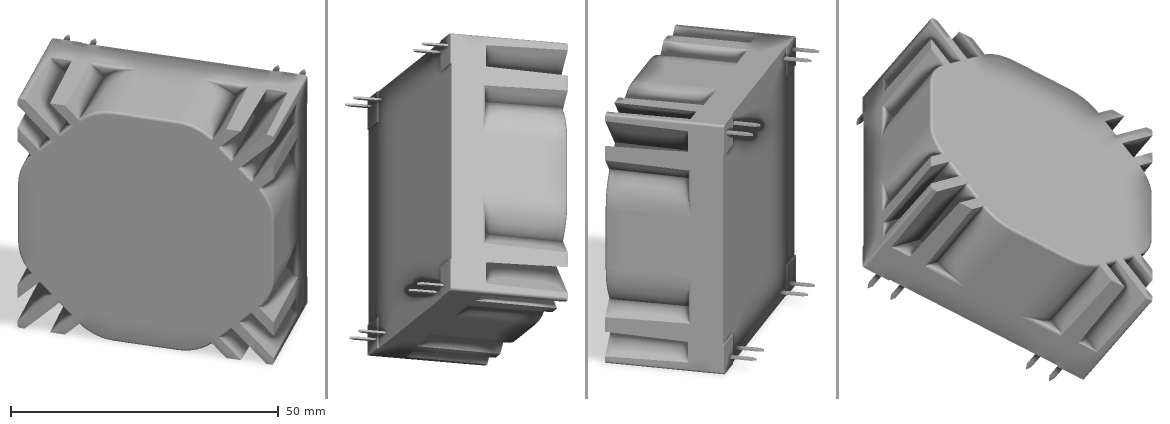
import cadquery as cq

SIDE = 49.7
DEPTH = 23.05
EDGE_RADIUS = 0.5
BASE_RIM_RADIUS = 0.6

DRUM_CORNER_RADIUS = 10.0
DRUM_SIDES = 8

RECESS_DEPTH = 16.05
CENTER_RIB_WIDTH = 2.0
SLOT_WIDTH = 3.5
OUTER_RIB_WIDTH = 2.05
DRAFT_ANGLE = 1.0
RIB_INNER_END = 19.9
RIB_OUTER_END = 37.28

FOOT_SIZE = 5.95
FOOT_HEIGHT = 0.25

PIN_ROW_OFFSET = 22.85
PIN_OUTER_X = 22.85
PIN_INNER_X = 15.2
PIN_STEPS = 3
PIN_REACH = 5.0
PIN_WIDTH = 1.0
PIN_THICKNESS = 0.4
PIN_TIP_LENGTH = 1.0
PIN_TIP_WIDTH = 0.1

FRONT_Y = -DEPTH
BACK_Y = -FOOT_HEIGHT
FLOOR_Y = FRONT_Y + RECESS_DEPTH
BODY_DEPTH = BACK_Y - FRONT_Y
RIB_GROUP_WIDTH = CENTER_RIB_WIDTH + 2 * (SLOT_WIDTH + OUTER_RIB_WIDTH)
PIN_PITCH = (PIN_OUTER_X - PIN_INNER_X) / PIN_STEPS
DIAGONAL_ANGLES = [45, 135, 225, 315]
AXIS_START = (0, 0, 0)
AXIS_END = (0, 1, 0)


def plane_at(y):
    """Workplane facing +Y at the given Y, with local x along Z and local y along X."""
    return cq.Workplane("ZX", origin=(0, y, 0))


def make_base():
    """Square base behind the recesses, with a rounded rim towards the recess floor."""
    base = plane_at(FLOOR_Y).rect(SIDE, SIDE).extrude(BACK_Y - FLOOR_Y)
    return base.faces("<Y").edges().fillet(BASE_RIM_RADIUS)


def make_drum():
    """Octagonal drum with rounded corners and a rounded front rim."""
    drum = plane_at(FRONT_Y).polygon(DRUM_SIDES, SIDE, circumscribed=True).extrude(BODY_DEPTH)
    drum = drum.edges("|Y").fillet(DRUM_CORNER_RADIUS)
    return drum.faces("<Y").edges().fillet(EDGE_RADIUS)


def make_diagonal_bar(offset, width, depth, taper):
    """Drafted bar running outwards from the drum, measured at the front face."""
    length = RIB_OUTER_END - RIB_INNER_END
    middle = (RIB_OUTER_END + RIB_INNER_END) / 2
    return plane_at(FRONT_Y).center(middle, offset).rect(length, width).extrude(depth, taper=taper)


def make_rib_group():
    """Three ribs: a bar that thickens towards the base, split by two slots that narrow."""
    ribs = make_diagonal_bar(0, RIB_GROUP_WIDTH, RECESS_DEPTH + BASE_RIM_RADIUS, -DRAFT_ANGLE)
    slot_offset = (CENTER_RIB_WIDTH + SLOT_WIDTH) / 2
    for side in (-1, 1):
        ribs = ribs.cut(make_diagonal_bar(side * slot_offset, SLOT_WIDTH, RECESS_DEPTH, DRAFT_ANGLE))
    return ribs


def make_feet():
    """Thin square pads at the four corners of the back face."""
    spacing = SIDE - FOOT_SIZE
    return (
        plane_at(BACK_Y)
        .rect(spacing, spacing, forConstruction=True)
        .vertices()
        .rect(FOOT_SIZE, FOOT_SIZE)
        .extrude(FOOT_HEIGHT)
    )


def make_pin(x, z):
    """Flat pin standing on the back face or let into a foot, tapering in width to a blunt point."""
    half_width = PIN_WIDTH / 2
    half_tip = PIN_TIP_WIDTH / 2
    shoulder_y = PIN_REACH - PIN_TIP_LENGTH
    outline = [
        (-half_width, BACK_Y),
        (half_width, BACK_Y),
        (half_width, shoulder_y),
        (half_tip, PIN_REACH),
        (-half_tip, PIN_REACH),
        (-half_width, shoulder_y),
    ]
    blank = cq.Workplane("XY").polyline(outline).close().extrude(PIN_THICKNESS / 2, both=True)
    return blank.translate((x, 0, z))


def make_pins():
    """Two rows of four pins, the lower row set one pitch further in than the upper row."""
    pins = []
    for row_z, first_step in ((PIN_ROW_OFFSET, 0), (-PIN_ROW_OFFSET, 1)):
        for step in (first_step, first_step + 2):
            x = PIN_OUTER_X - step * PIN_PITCH
            pins.append(make_pin(-x, row_z))
            pins.append(make_pin(x, row_z))
    return pins


def make_housing(pins):
    """Base, drum, ribs and feet in one piece, trimmed to the envelope and cleared for the pins."""
    housing = make_base().union(make_drum())
    rib_group = make_rib_group()
    for angle in DIAGONAL_ANGLES:
        housing = housing.union(rib_group.rotate(AXIS_START, AXIS_END, angle))
    housing = housing.union(make_feet())
    envelope = plane_at(FRONT_Y).rect(SIDE, SIDE).extrude(DEPTH).edges("|Y").fillet(EDGE_RADIUS)
    housing = housing.intersect(envelope)
    for pin in pins:
        housing = housing.cut(pin)
    return housing


pins = make_pins()
housing = make_housing(pins)

result = cq.Compound.makeCompound([housing.val(), *[pin.val() for pin in pins]])